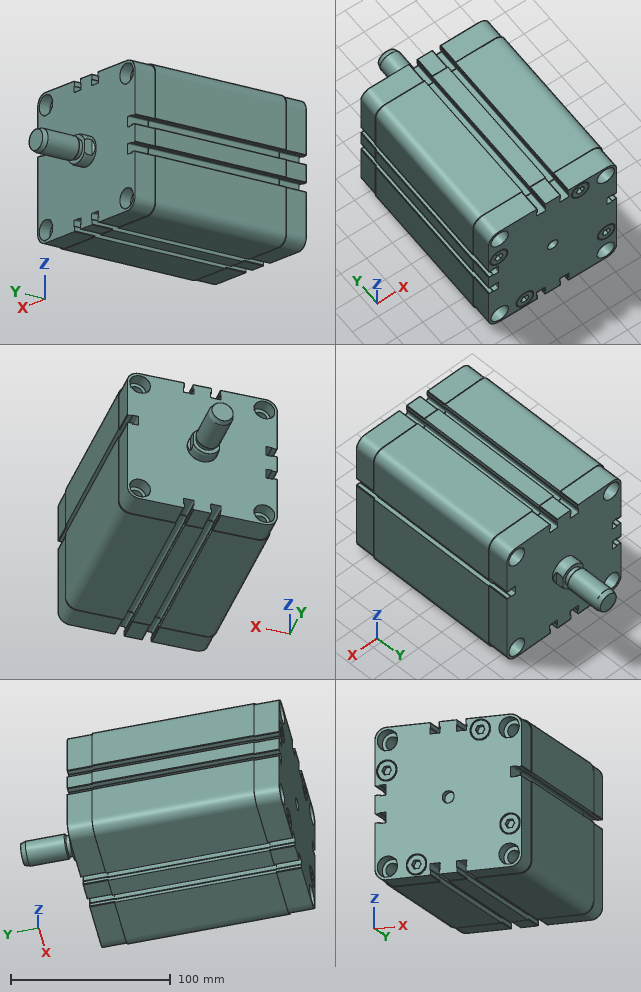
import cadquery as cq
import math


total_length = 176.0
rod_reach = 40.0
body_length = total_length - rod_reach
cap_length = 16.0

tube_width = 100.0
cap_inset = 0.5
cap_width = tube_width - 2 * cap_inset
corner_radius = 8.0

slot_neck_width = 5.8
slot_neck_depth = 3.5
slot_head_width = 6.9
slot_depth = 7.4
slot_lip_chamfer = 0.44
slot_floor_radius = 0.5
slot_offset = 9.0
right_slot_offset = 12.0

mount_offset = 41.0
mount_hole_diameter = 8.6
mount_bore_diameter = 13.5
mount_bore_depth = 8.5

screw_far_offset = 41.5
screw_near_offset = 21.5
screw_bore_diameter = 13.5
screw_head_diameter = 12.5
screw_gap_depth = 1.0
hex_across_flats = 5.5
hex_depth = 3.5

port_diameter = 8.0
port_depth = 4.0

rod_diameter = 20.0
thread_diameter = 16.0
neck_diameter = 13.5
shoulder_length = 8.1
neck_end = 11.0
thread_run_out = 0.7
tip_chamfer_length = 3.3
tip_chamfer_depth = 1.0
shoulder_chamfer_length = 1.8
shoulder_chamfer_depth = 0.5
wrench_width = 17.2
wrench_length = 5.8


def plane_at(y):
    """Cross-section plane at position y: local x is X, local y is Z, the normal is -Y."""
    return cq.Plane(origin=(0, y, 0), xDir=(1, 0, 0), normal=(0, -1, 0))


def prism_along_y(sketch, length):
    """Extrude a cross-section sketch toward +Y."""
    return sketch.extrude(-length)


def slot_cutter(y, length, surface, offset, angle, lip):
    """T-slot opening on the top side at x = offset, then turned by angle about the Y axis.

    lip is the size of the chamfer along both edges of the opening, 0 for sharp edges.
    """
    neck = slot_neck_width / 2
    step = surface - slot_neck_depth
    floor = surface - slot_depth
    head = (
        cq.Workplane(plane_at(y))
        .center(offset, (step + floor) / 2)
        .rect(slot_head_width, step - floor)
    )
    cutter = prism_along_y(head, length).edges("|Y and <Z").fillet(slot_floor_radius)
    throat = (
        cq.Workplane(plane_at(y))
        .center(offset, (step + surface) / 2)
        .rect(slot_neck_width, surface - step)
    )
    cutter = cutter.union(prism_along_y(throat, length))
    if lip > 0:
        flare = (
            cq.Workplane(plane_at(y))
            .moveTo(offset - neck, surface - lip)
            .lineTo(offset - neck - lip, surface)
            .lineTo(offset + neck + lip, surface)
            .lineTo(offset + neck, surface - lip)
            .close()
        )
        cutter = cutter.union(prism_along_y(flare, length))
    return cutter.rotate((0, 0, 0), (0, 1, 0), angle)


top, right, bottom, left = 0, 90, 180, 270
slots = [(sign * slot_offset, turn) for turn in (top, bottom, left) for sign in (-1, 1)]
slots.append((-right_slot_offset, right))


def body_section(y, length, width, chamfered_turns):
    """Rounded square block with T-slots; those on the listed sides have chamfered lips."""
    block = prism_along_y(cq.Workplane(plane_at(y)).rect(width, width), length)
    block = block.edges("|Y").fillet(corner_radius)
    for offset, angle in slots:
        lip = slot_lip_chamfer if angle in chamfered_turns else 0
        block = block.cut(slot_cutter(y, length, width / 2, offset, angle, lip))
    return block


def make_rod():
    """Turned rod end with a threaded stud, an undercut neck and two wrench flats."""
    rod_r = rod_diameter / 2
    thread_r = thread_diameter / 2
    neck_r = neck_diameter / 2
    root = body_length - cap_length
    shoulder = body_length + shoulder_length
    thread_start = body_length + neck_end
    rod = (
        cq.Workplane("XY")
        .moveTo(0, root)
        .lineTo(rod_r, root)
        .lineTo(rod_r, shoulder - shoulder_chamfer_length)
        .lineTo(rod_r - shoulder_chamfer_depth, shoulder)
        .lineTo(neck_r, shoulder)
        .lineTo(neck_r, thread_start)
        .lineTo(thread_r, thread_start + thread_run_out)
        .lineTo(thread_r, total_length - tip_chamfer_length)
        .lineTo(thread_r - tip_chamfer_depth, total_length)
        .lineTo(0, total_length)
        .close()
        .revolve(360, (0, 0, 0), (0, 1, 0))
    )
    flat_x = wrench_width / 2
    ramp = rod_r - flat_x
    flat_start = shoulder - wrench_length
    flat_cutter = (
        cq.Workplane("XY")
        .moveTo(flat_x, shoulder)
        .lineTo(flat_x, flat_start)
        .lineTo(rod_r, flat_start - ramp)
        .lineTo(rod_r, shoulder)
        .close()
        .extrude(rod_r, both=True)
    )
    return rod.cut(flat_cutter).cut(flat_cutter.mirror("YZ"))


def cut_mounting_holes(body):
    """Through holes in the four corners, counterbored from both end faces."""
    corners = [(sx * mount_offset, sz * mount_offset) for sx in (-1, 1) for sz in (-1, 1)]
    holes = cq.Workplane(plane_at(0)).pushPoints(corners).circle(mount_hole_diameter / 2)
    body = body.cut(prism_along_y(holes, body_length))
    for y in (0, body_length - mount_bore_depth):
        bores = cq.Workplane(plane_at(y)).pushPoints(corners).circle(mount_bore_diameter / 2)
        body = body.cut(prism_along_y(bores, mount_bore_depth))
    return body


def cut_screw_heads(body):
    """Annular gap and hexagon socket of the four cap screws, a quarter turn apart."""
    a, b = screw_near_offset, screw_far_offset
    places = [(a, b), (b, -a), (-a, -b), (-b, a)]
    gaps = (
        cq.Workplane(plane_at(0))
        .pushPoints(places)
        .circle(screw_bore_diameter / 2)
        .circle(screw_head_diameter / 2)
    )
    hex_diameter = hex_across_flats / math.cos(math.pi / 6)
    sockets = cq.Workplane(plane_at(0)).pushPoints(places).polygon(6, hex_diameter)
    return body.cut(prism_along_y(gaps, screw_gap_depth)).cut(prism_along_y(sockets, hex_depth))


def cut_port(body):
    port = cq.Workplane(plane_at(0)).circle(port_diameter / 2)
    return body.cut(prism_along_y(port, port_depth))


all_sides = [top, right, bottom, left]
front_cap = body_section(0, cap_length, cap_width, all_sides)
tube = body_section(cap_length, body_length - 2 * cap_length, tube_width, [left])
rear_cap = body_section(body_length - cap_length, cap_length, cap_width, all_sides)

cylinder = front_cap.union(tube).union(rear_cap)
cylinder = cut_mounting_holes(cylinder)
cylinder = cut_screw_heads(cylinder)
cylinder = cut_port(cylinder)
result = cylinder.union(make_rod())